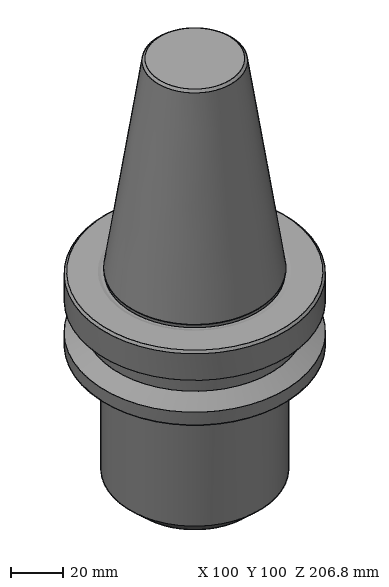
import cadquery as cq
import math

TAPER_RATIO = 7 / 24
GAUGE_DIAMETER = 69.85
TAPER_LENGTH = 101.8
TAPER_TIP_CHAMFER = 1.0

NECK_DIAMETER = 69.25
SHOULDER_HEIGHT = 0.5
RELIEF_RIM_DIAMETER = 74.0
RELIEF_FLOOR_DIAMETER = 71.6
RELIEF_SLOPE_ANGLE = 15.0

FLANGE_DIAMETER = 100.0
FLANGE_TOP = -1.5
FLANGE_BOTTOM = -38.0
FLANGE_CHAMFER = 1.0
GROOVE_DIAMETER = 85.0
GROOVE_CENTER = -23.1
GROOVE_FLOOR_WIDTH = 6.8
GROOVE_WALL_ANGLE = 30.0

NOSE_DIAMETER = 72.0
NOSE_END = -105.0
NOSE_CHAMFER = 8.0

flange_radius = FLANGE_DIAMETER / 2
groove_radius = GROOVE_DIAMETER / 2
nose_radius = NOSE_DIAMETER / 2
gauge_radius = GAUGE_DIAMETER / 2
neck_radius = NECK_DIAMETER / 2
relief_rim_radius = RELIEF_RIM_DIAMETER / 2
relief_floor_radius = RELIEF_FLOOR_DIAMETER / 2
relief_depth = (relief_rim_radius - relief_floor_radius) * math.tan(math.radians(RELIEF_SLOPE_ANGLE))
relief_floor = FLANGE_TOP - relief_depth


def revolve_profile(points):
    """Solid of revolution about Z from (radius, height) points."""
    return cq.Workplane("YZ").polyline(points).close().revolve(360, (0, 0, 0), (0, 1, 0))


def make_taper():
    tip_radius = gauge_radius - TAPER_LENGTH * TAPER_RATIO / 2
    taper = revolve_profile([
        (0, relief_floor),
        (neck_radius, relief_floor),
        (neck_radius, -SHOULDER_HEIGHT),
        (gauge_radius, 0),
        (tip_radius, TAPER_LENGTH),
        (0, TAPER_LENGTH),
    ])
    return taper.faces(">Z").chamfer(TAPER_TIP_CHAMFER)


def make_flange():
    height = FLANGE_TOP - FLANGE_BOTTOM
    flange = cq.Workplane("XY", origin=(0, 0, FLANGE_BOTTOM)).circle(flange_radius).extrude(height)
    flange = flange.edges().chamfer(FLANGE_CHAMFER)
    return flange.cut(make_relief()).cut(make_gripper_groove())


def make_relief():
    return revolve_profile([
        (0, relief_floor),
        (relief_floor_radius, relief_floor),
        (relief_rim_radius, FLANGE_TOP),
        (0, FLANGE_TOP),
    ])


def make_gripper_groove():
    wall_rise = (flange_radius - groove_radius) * math.tan(math.radians(GROOVE_WALL_ANGLE))
    half_floor = GROOVE_FLOOR_WIDTH / 2
    half_mouth = half_floor + wall_rise
    return revolve_profile([
        (groove_radius, GROOVE_CENTER - half_floor),
        (flange_radius, GROOVE_CENTER - half_mouth),
        (flange_radius, GROOVE_CENTER + half_mouth),
        (groove_radius, GROOVE_CENTER + half_floor),
    ])


def make_nose():
    length = FLANGE_BOTTOM - NOSE_END
    nose = cq.Workplane("XY", origin=(0, 0, NOSE_END)).circle(nose_radius).extrude(length)
    return nose.faces("<Z").chamfer(NOSE_CHAMFER)


result = make_flange().union(make_nose()).union(make_taper())